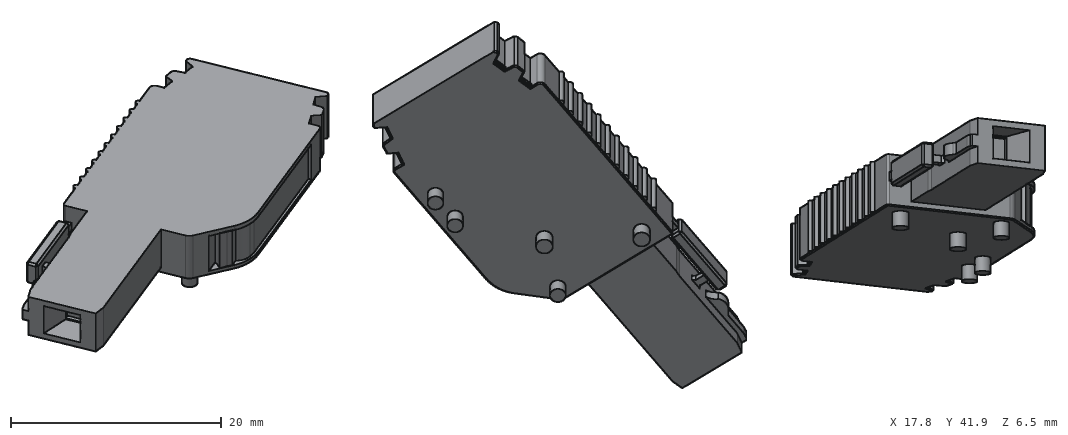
import cadquery as cq

total_length = 41.9
case_width = 17.5
case_height = 5.05
case_front = 15.1
skin = 0.5
bottom_chamfer = 0.13

shoulder_y = 36.55
left_shoulder_radius = 0.55
right_shoulder_radius = 0.38
front_corner_radius = 0.25
notch_walls = [
    ((1.3, shoulder_y), (1.6, 37.8)),
    ((2.15, 39.55), (2.45, 40.75)),
]
ledge_depth = 0.13
tooth = [(0.7, 38.3), (0.9, 39.2), (1.1, 39.45)]
rear_lip = [(1.45, 41.35), (1.45, 41.7), (1.68, total_length)]

bevel_start_x = 13.05
bevel_end_y = case_front + case_width - bevel_start_x
bevel_front_radius = 0.95
bevel_side_radius = 4.15

rib_count = 11
rib_radius = 0.3
first_rib_y = 18.4
last_rib_y = 33.4
rib_pitch = (last_rib_y - first_rib_y) / (rib_count - 1)

scoop_start = (14.45, 18.0)
scoop_middle = (14.75, 17.85)
scoop_end = (14.95, 17.6)
ridge_points = [(15.25, 17.35), (15.7, 17.95), (16.15, 18.25)]
round_wall_start = (16.15, 19.05)
round_wall_middle = (16.75, 19.53)
round_wall_end = (17.1, 20.25)
side_wall_start_y = 20.95
recess_end_y = 34.1
recess_floor_x = case_width - rib_radius

plug_bottom = 0.63
plug_left = 2.5
plug_right = 10.15
plug_step = 0.1
plug_step_rear = 11.2
plug_step_front = 10.55
plug_taper_length = 1.17
plug_taper = 0.3
plug_overlap = 0.4

socket_left = 4.5
socket_right = 8.25
socket_bottom = 1.25
socket_top = 4.45
socket_depth = 2.95
inner_left = 5.5
inner_right = 7.12
inner_margin = 0.145
inner_depth = 0.4

latch_z = 2.85
bar_left = -0.1
bar_right = 1.15
bar_front = 6.35
bar_rear = 14.08
bar_height = 2.45
bar_chamfer = 0.2
stem_left = 0.2
stem_right = 0.92
stem_height = 0.85
arm_front = 7.5
arm_rear = 8.25
arm_height = 0.7
arm_flare = 0.25
cam_height = 1.15
cam_strip = [(2.35, 0), (2.2, 0.15), (2.1, 0.8), (2.1, 3.3), (1.9, 3.6)]
cam_crest = (1.45, 4.5)
cam_crest_end = (1.75, 5.35)
cam_tail = (2.25, 5.75)
cam_rear = 6.3

pin_length = 1.45
large_pin_radius = 0.8
small_pin_radius = 0.75
large_pins = [(2.25, 17.15), (10.22, 21.87)]
small_pins = [(12.45, 16.6), (15.7, 28.75), (15.7, 31.93)]


def box(x0, x1, y0, y1, z0, z1):
    return cq.Workplane("XY").box(x1 - x0, y1 - y0, z1 - z0, centered=False).translate((x0, y0, z0))


def mirror_x(points):
    """The points mirrored to the other side of the case."""
    return [(case_width - x, y) for x, y in points]


def round_corner(solid, x, y, radius):
    """Round the upright edge at (x, y)."""
    edge = cq.selectors.NearestToPointSelector((x, y, case_height / 2))
    return solid.edges("|Z").edges(edge).fillet(radius)


def make_case():
    (front_wall_low, front_wall_high), (rear_wall_low, rear_wall_high) = notch_walls
    neck = [(0, shoulder_y), front_wall_low, front_wall_high]
    neck += tooth + [rear_wall_low, rear_wall_high] + rear_lip
    outline = [(0, case_front)] + neck + mirror_x(neck)[::-1]
    outline += [(case_width, bevel_end_y), (bevel_start_x, case_front)]
    case = cq.Workplane("XY").polyline(outline).close().extrude(case_height)
    case = round_corner(case, 0, case_front, front_corner_radius)
    case = round_corner(case, 0, shoulder_y, left_shoulder_radius)
    case = round_corner(case, case_width, shoulder_y, right_shoulder_radius)
    case = round_corner(case, bevel_start_x, case_front, bevel_front_radius)
    case = round_corner(case, case_width, bevel_end_y, bevel_side_radius)
    return case.faces("<Z").edges("not >Y").chamfer(bottom_chamfer)


def make_ledges():
    """Thin steps where the floor of the case stands out from the notch walls."""
    ledges = cq.Workplane("XY").workplane(offset=bottom_chamfer)
    for (x0, y0), (x1, y1) in notch_walls:
        section = [
            (x0 - ledge_depth, y0),
            (x1 - ledge_depth, y1),
            (x1 + ledge_depth, y1),
            (x0 + ledge_depth, y0),
        ]
        ledges = ledges.polyline(section).close().polyline(mirror_x(section)).close()
    return ledges.extrude(skin - bottom_chamfer)


def make_ribs():
    centers = [(0, first_rib_y + i * rib_pitch) for i in range(rib_count)]
    ribs = cq.Workplane("XY").workplane(offset=bottom_chamfer)
    return ribs.pushPoints(centers).circle(rib_radius).extrude(case_height - bottom_chamfer)


def make_recess():
    """Finger grip between floor and roof: a scoop, a ridge and a rounded wall along the side."""
    outside = case_width + 0.4
    recess = (
        cq.Workplane("XY")
        .workplane(offset=skin)
        .moveTo(scoop_start[0], case_front)
        .lineTo(*scoop_start)
        .threePointArc(scoop_middle, scoop_end)
    )
    for point in ridge_points:
        recess = recess.lineTo(*point)
    recess = (
        recess.lineTo(*round_wall_start)
        .threePointArc(round_wall_middle, round_wall_end)
        .lineTo(recess_floor_x, side_wall_start_y)
        .lineTo(recess_floor_x, recess_end_y)
        .lineTo(outside, recess_end_y)
        .lineTo(outside, case_front)
        .close()
    )
    return recess.extrude(case_height - 2 * skin)


def make_plug():
    left = plug_left + plug_step
    outline = [
        (plug_left, case_front + plug_overlap),
        (plug_left, plug_step_rear),
        (left, plug_step_front),
        (left, plug_taper_length),
        (left + plug_taper, 0),
        (plug_right - plug_taper, 0),
        (plug_right, plug_taper_length),
        (plug_right, case_front + plug_overlap),
    ]
    plug = cq.Workplane("XY").workplane(offset=plug_bottom)
    return plug.polyline(outline).close().extrude(case_height - plug_bottom)


def make_socket():
    """Opening whose side walls close in, with a slightly lower pocket at its end."""
    mouth = [
        (socket_left, 0),
        (socket_right, 0),
        (inner_right, socket_depth),
        (inner_left, socket_depth),
    ]
    funnel = cq.Workplane("XY").workplane(offset=socket_bottom).polyline(mouth).close()
    funnel = funnel.extrude(socket_top - socket_bottom)
    pocket = box(
        inner_left, inner_right,
        socket_depth, socket_depth + inner_depth,
        socket_bottom + inner_margin, socket_top - inner_margin,
    )
    return funnel.union(pocket)


def make_latch():
    wall = plug_left + plug_step
    embedded = wall + plug_overlap
    half_bar = bar_height / 2
    bar = box(bar_left, bar_right, bar_front, bar_rear, latch_z - half_bar, latch_z + half_bar)
    bar = bar.edges().chamfer(bar_chamfer)

    half_stem = stem_height / 2
    stem_rear = case_front + plug_overlap
    stem = box(stem_left, stem_right, bar_rear - bar_chamfer, stem_rear,
               latch_z - half_stem, latch_z + half_stem)

    arm = cq.Workplane("XY").workplane(offset=latch_z).polyline([
        (bar_right - bar_chamfer, arm_front),
        (wall - arm_flare, arm_front),
        (wall, arm_front - arm_flare),
        (embedded, arm_front - arm_flare),
        (embedded, arm_rear + arm_flare),
        (wall, arm_rear + arm_flare),
        (wall - arm_flare, arm_rear),
        (bar_right - bar_chamfer, arm_rear),
    ])
    cam = (
        cq.Workplane("XY")
        .workplane(offset=latch_z)
        .polyline([(embedded, 0)] + cam_strip)
        .threePointArc(cam_crest, cam_crest_end)
        .threePointArc(cam_tail, (wall, cam_rear))
        .lineTo(embedded, cam_rear)
    )
    arm = arm.close().extrude(arm_height / 2, both=True)
    cam = cam.close().extrude(cam_height / 2, both=True)
    return bar.union(stem).union(arm).union(cam)


def make_pins(centers, radius):
    """Pins reaching from inside the floor to below the case."""
    pins = cq.Workplane("XY").workplane(offset=-pin_length)
    return pins.pushPoints(centers).circle(radius).extrude(pin_length + bottom_chamfer)


result = make_case().union(make_ledges()).union(make_ribs()).cut(make_recess())
result = result.union(make_plug()).union(make_latch()).cut(make_socket())
result = result.union(make_pins(large_pins, large_pin_radius))
result = result.union(make_pins(small_pins, small_pin_radius))